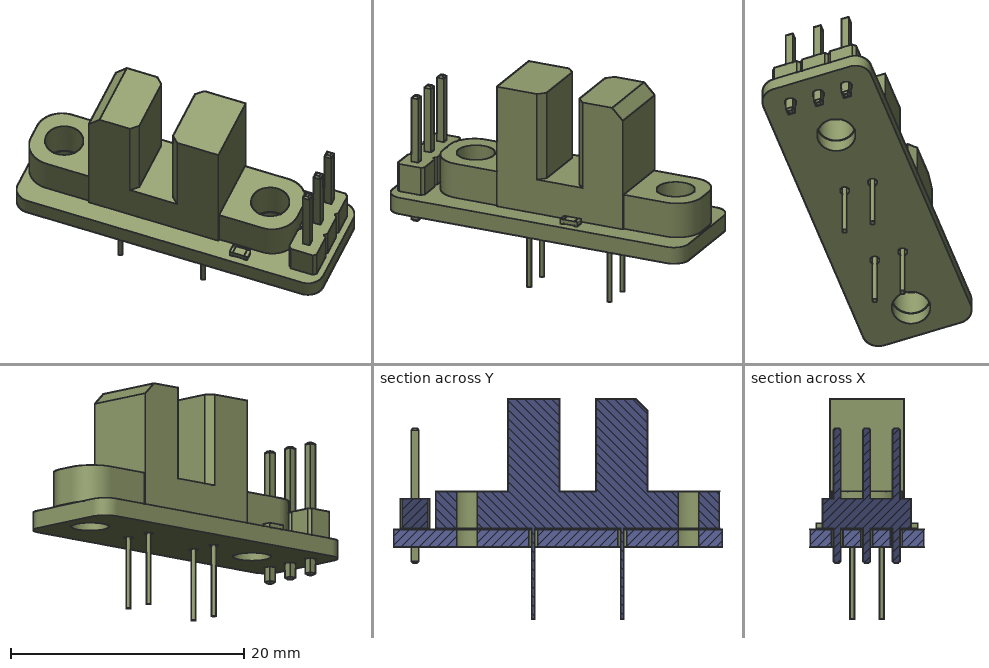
import cadquery as cq


BOARD_LENGTH = 28.2
BOARD_WIDTH = 9.8
BOARD_THICKNESS = 1.52
BOARD_CORNER_RADIUS = 1.4
MOUNT_HOLE_DIAMETER = 3.3
LEAD_HOLE_DIAMETER = 0.8
PIN_HOLE_DIAMETER = 1.0

SEAT_GAP = 0.08
SEAT_Z = BOARD_THICKNESS + SEAT_GAP

SENSOR_X = -1.7
FLANGE_LENGTH = 24.6
FLANGE_WIDTH = 6.03
FLANGE_HEIGHT = 3.15
FLANGE_CORNER_RADIUS = 2.3
MOUNT_HOLE_SPACING = 19.0
BLOCK_LENGTH = 11.98
BLOCK_WIDTH = 6.37
BLOCK_HEIGHT = 11.1
BLOCK_TOP_CHAMFER = 1.02
SLOT_WIDTH = 3.1
SLOT_EDGE_CHAMFER = 0.62

LEAD_DIAMETER = 0.4
LEAD_SPACING_X = 7.65
LEAD_SPACING_Y = 2.55
LEAD_TIP_Z = -6.18

HEADER_X = 12.27
HEADER_Y = -0.03
PIN_COUNT = 3
PIN_PITCH = 2.55
CELL_CHAMFER = 0.25
PIN_SIZE = 0.65
PIN_TIP_CHAMFER = 0.17
PIN_TOP_Z = 10.2
PIN_BOTTOM_Z = -1.38

CHIP_LENGTH = 1.6
CHIP_WIDTH = 0.8
CHIP_HEIGHT = 0.45
CHIP_CAP_LENGTH = 0.28
CHIP_CAP_EDGE_RADIUS = 0.03
CHIP_CORE_CLEARANCE = 0.05
CHIP_PLACES = [(-3.1, 3.98), (6.6, -3.98)]

MOUNT_HOLE_PLACES = [(SENSOR_X + side * MOUNT_HOLE_SPACING / 2, 0) for side in (-1, 1)]
LEAD_PLACES = [
    (SENSOR_X + side_x * LEAD_SPACING_X / 2, side_y * LEAD_SPACING_Y / 2)
    for side_x in (-1, 1)
    for side_y in (-1, 1)
]
PIN_PLACES = [(HEADER_X, HEADER_Y + (i - (PIN_COUNT - 1) / 2) * PIN_PITCH) for i in range(PIN_COUNT)]


def box_on(z, length, width, height):
    """Box centred on X and Y, standing on height z."""
    return cq.Workplane("XY", origin=(0, 0, z)).box(length, width, height, centered=(True, True, False))


def cylinders(places, diameter, bottom, top):
    """Vertical cylinders at the given places."""
    return (
        cq.Workplane("XY", origin=(0, 0, bottom))
        .pushPoints(places)
        .circle(diameter / 2)
        .extrude(top - bottom)
    )


def make_board():
    board = box_on(0, BOARD_LENGTH, BOARD_WIDTH, BOARD_THICKNESS).edges("|Z").fillet(BOARD_CORNER_RADIUS)
    hole_groups = [
        (MOUNT_HOLE_PLACES, MOUNT_HOLE_DIAMETER),
        (LEAD_PLACES, LEAD_HOLE_DIAMETER),
        (PIN_PLACES, PIN_HOLE_DIAMETER),
    ]
    for places, diameter in hole_groups:
        board = board.cut(cylinders(places, diameter, 0, BOARD_THICKNESS))
    return board


def make_sensor_slot():
    """Slot between the towers, flaring outward at both open sides."""
    half_width = SLOT_WIDTH / 2
    half_mouth = half_width + SLOT_EDGE_CHAMFER
    half_depth = BLOCK_WIDTH / 2
    flare_start = half_depth - SLOT_EDGE_CHAMFER
    return (
        cq.Workplane("XY", origin=(SENSOR_X, 0, SEAT_Z + FLANGE_HEIGHT))
        .polyline([
            (half_mouth, -half_depth),
            (half_width, -flare_start),
            (half_width, flare_start),
            (half_mouth, half_depth),
            (-half_mouth, half_depth),
            (-half_width, flare_start),
            (-half_width, -flare_start),
            (-half_mouth, -half_depth),
        ])
        .close()
        .extrude(BLOCK_HEIGHT - FLANGE_HEIGHT)
    )


def make_sensor():
    flange = (
        box_on(SEAT_Z, FLANGE_LENGTH, FLANGE_WIDTH, FLANGE_HEIGHT)
        .edges("|Z")
        .fillet(FLANGE_CORNER_RADIUS)
        .translate((SENSOR_X, 0, 0))
        .cut(cylinders(MOUNT_HOLE_PLACES, MOUNT_HOLE_DIAMETER, SEAT_Z, SEAT_Z + FLANGE_HEIGHT))
    )
    block = (
        box_on(SEAT_Z, BLOCK_LENGTH, BLOCK_WIDTH, BLOCK_HEIGHT)
        .faces("<X")
        .edges(">Z")
        .chamfer(BLOCK_TOP_CHAMFER)
        .translate((SENSOR_X, 0, 0))
        .cut(make_sensor_slot())
    )
    leads = cylinders(LEAD_PLACES, LEAD_DIAMETER, LEAD_TIP_Z, SEAT_Z)
    return flange.union(block).union(leads)


def make_header():
    cell = box_on(SEAT_Z, PIN_PITCH, PIN_PITCH, PIN_PITCH).edges("|Z").chamfer(CELL_CHAMFER)
    pin = (
        box_on(PIN_BOTTOM_Z, PIN_SIZE, PIN_SIZE, PIN_TOP_Z - PIN_BOTTOM_Z)
        .faces("<Z or >Z")
        .chamfer(PIN_TIP_CHAMFER)
    )
    cell_with_pin = cell.union(pin)
    header = cq.Workplane("XY")
    for x, y in PIN_PLACES:
        header = header.union(cell_with_pin.translate((x, y, 0)))
    return header


def make_chip(x, y):
    """Chip resistor: two rounded end caps joined by a core that stays clear of the seating plane."""
    chip = box_on(
        SEAT_Z + CHIP_CORE_CLEARANCE,
        CHIP_LENGTH - 2 * CHIP_CAP_LENGTH,
        CHIP_WIDTH,
        CHIP_HEIGHT - CHIP_CORE_CLEARANCE,
    )
    cap = box_on(SEAT_Z, CHIP_CAP_LENGTH, CHIP_WIDTH, CHIP_HEIGHT).edges("|Y").fillet(CHIP_CAP_EDGE_RADIUS)
    for side in (-1, 1):
        chip = chip.union(cap.translate((side * (CHIP_LENGTH - CHIP_CAP_LENGTH) / 2, 0, 0)))
    return chip.translate((x, y, 0))


board = make_board()
sensor = make_sensor()
header = make_header()
chips = [make_chip(x, y) for x, y in CHIP_PLACES]

result = cq.Compound.makeCompound([
    board.val(),
    sensor.val(),
    header.val(),
    *[chip.val() for chip in chips],
])